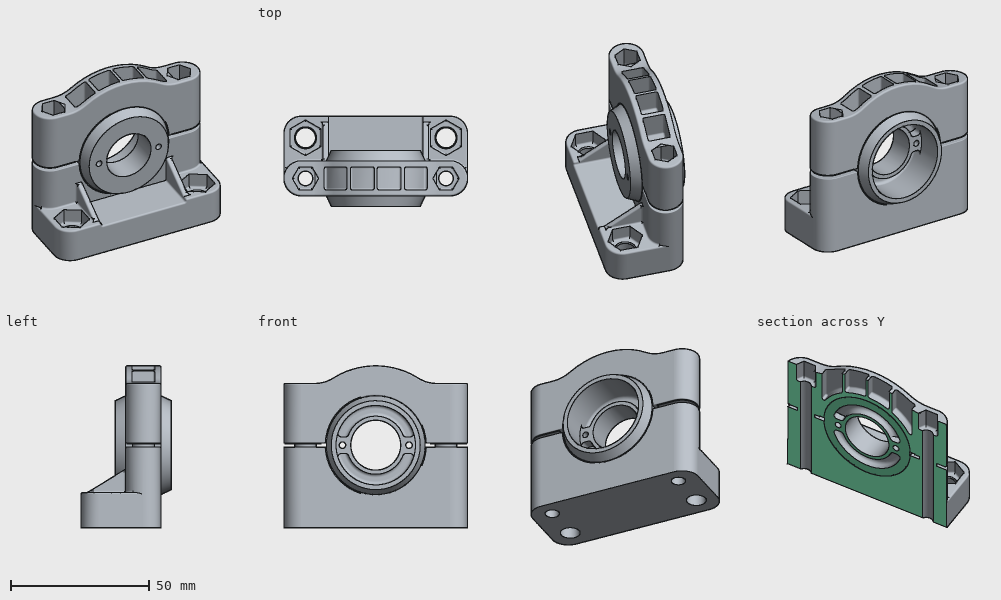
import cadquery as cq
import math

LENGTH = 66.55
THICKNESS = 12.8
BORE_HEIGHT = 29.95
SHOULDER_HEIGHT = 52.3
TOP_HEIGHT = 58.7
EDGE_ROUND = 0.63
GAP = 1.45
GAP_EDGE_ROUND = 0.2
BORE_EDGE_ROUND = 0.4

HUMP_RADIUS = TOP_HEIGHT - BORE_HEIGHT
HUMP_FOOT_X = 22.0

POCKET_SPANS = [(0.5, 9.2), (10.45, 18.65)]
POCKET_WIDTH = 8.25
POCKET_FLOOR_RADIUS = 20.15
POCKET_ROUND = 0.65

BOLT_X = 25.4
BOLT_HOLE_DIAMETER = 5.2
BOLT_HEX_FLATS = 8.25
BOLT_HEX_DEPTH = 8.0
BOSS_DIAMETER = 7.9

PAD_THICKNESS = 0.3
PAD_INSET = 0.43
PAD_INNER_X = 19.75

FLANGE_BACK_Y = 22.55
FLANGE_HEIGHT = 12.8
MOUNT_Y = 14.7
MOUNT_HOLE_DIAMETER = 7.2
MOUNT_HOLE_CHAMFER = 0.4
MOUNT_HEX_FLATS = 11.2
MOUNT_HEX_DEPTH = 5.7
HEX_FLOOR_ROUND = 0.65

RIB_INNER_X = 17.05
RIB_OUTER_X = 19.15
RIB_FOOT_Y = 20.35
RIB_TOP_HEIGHT = 21.3
RECESS_DEPTH = 1.3

BUSHING_LENGTH = 20.35
BUSHING_RADIUS = 17.9
BUSHING_END_RADIUS = 16.1
COUNTERBORE_RADIUS = 14.4
COUNTERBORE_DEPTH = BUSHING_LENGTH / 2
BUSHING_HOLE_RADIUS = 9.0
GROOVE_INNER_RADIUS = 10.5
GROOVE_DEPTH = 4.0
GROOVE_ROUND = 1.25
BRIDGE_WIDTH = 6.0
PIN_X = 12.05
PIN_HOLE_DIAMETER = 2.25

RECESS_FLOOR = FLANGE_HEIGHT - RECESS_DEPTH
HALF_LENGTH = LENGTH / 2
HALF_THICKNESS = THICKNESS / 2
GAP_BOTTOM = BORE_HEIGHT - GAP / 2
GAP_TOP = BORE_HEIGHT + GAP / 2
SIDES = (-1, 1)


def block(x_range, y_range, z_range):
    """Axis-aligned box given by its limits along each axis."""
    return cq.Workplane("XY").box(
        x_range[1] - x_range[0], y_range[1] - y_range[0], z_range[1] - z_range[0], centered=False
    ).translate((x_range[0], y_range[0], z_range[0]))


def bore_cylinder(radius, y_start, y_end):
    """Cylinder on the bore axis between two Y positions."""
    plane = cq.Workplane("XZ", origin=(0, y_start, BORE_HEIGHT))
    return plane.circle(radius).extrude(y_start - y_end)


def rounded_end_column(bottom, top):
    """Full-length upright column with fully rounded ends."""
    return cq.Workplane("XY", origin=(0, 0, bottom)).slot2D(LENGTH, THICKNESS).extrude(top - bottom)


def hump_profile():
    """Front outline of the upper half: shoulders, blend arcs and the hump."""
    rise = SHOULDER_HEIGHT - BORE_HEIGHT
    blend_radius = (HUMP_FOOT_X**2 + rise**2 - HUMP_RADIUS**2) / (2 * (HUMP_RADIUS - rise))
    blend_centre_z = SHOULDER_HEIGHT + blend_radius
    lean = math.atan2(HUMP_FOOT_X, blend_centre_z - BORE_HEIGHT)
    join_x = HUMP_RADIUS * math.sin(lean)
    join_z = BORE_HEIGHT + HUMP_RADIUS * math.cos(lean)
    blend_mid_x = HUMP_FOOT_X - blend_radius * math.sin(lean / 2)
    blend_mid_z = blend_centre_z - blend_radius * math.cos(lean / 2)
    return (
        cq.Workplane("XZ")
        .moveTo(-HALF_LENGTH, GAP_TOP)
        .lineTo(-HALF_LENGTH, SHOULDER_HEIGHT)
        .lineTo(-HUMP_FOOT_X, SHOULDER_HEIGHT)
        .threePointArc((-blend_mid_x, blend_mid_z), (-join_x, join_z))
        .threePointArc((0, TOP_HEIGHT), (join_x, join_z))
        .threePointArc((blend_mid_x, blend_mid_z), (HUMP_FOOT_X, SHOULDER_HEIGHT))
        .lineTo(HALF_LENGTH, SHOULDER_HEIGHT)
        .lineTo(HALF_LENGTH, GAP_TOP)
        .close()
    )


def hump_pocket(x_start, x_end):
    """Pocket cutter whose floor follows the bore."""
    half_width = POCKET_WIDTH / 2
    pocket = block((x_start, x_end), (-half_width, half_width), (BORE_HEIGHT, TOP_HEIGHT + 0.65))
    pocket = pocket.cut(bore_cylinder(POCKET_FLOOR_RADIUS, -THICKNESS, THICKNESS))
    return pocket.edges("not >Z").fillet(POCKET_ROUND)


def hex_pocket(flats, depth, x, y, top, turn):
    """Hexagonal nut pocket cutter with a rounded floor edge."""
    corners = flats / math.cos(math.radians(30))
    cutter = cq.Workplane("XY").polygon(6, corners).extrude(depth)
    cutter = cutter.faces("<Z").edges().fillet(HEX_FLOOR_ROUND)
    return cutter.rotate((0, 0, 0), (0, 0, 1), turn).translate((x, y, top - depth))


def upper_half():
    """Humped upper half of the clamp, with its hump pockets and end pads."""
    upper = hump_profile().extrude(HALF_THICKNESS, both=True)
    upper = upper.intersect(rounded_end_column(GAP_TOP, TOP_HEIGHT + 0.65))
    upper = upper.faces("<Z").edges().fillet(GAP_EDGE_ROUND)
    rim = cq.selectors.BoxSelector(
        (-LENGTH, -THICKNESS, SHOULDER_HEIGHT - 0.05), (LENGTH, THICKNESS, TOP_HEIGHT + 0.65)
    )
    upper = upper.edges(rim).edges("not |Y").fillet(EDGE_ROUND)
    for side in SIDES:
        for near, far in POCKET_SPANS:
            upper = upper.cut(hump_pocket(*sorted((side * near, side * far))))
    return upper.union(end_pads())


def end_pads():
    """Thin pads under the two ends of the upper half, inset from its outline."""
    bottom = GAP_TOP - PAD_THICKNESS
    outline = cq.Workplane("XY", origin=(0, 0, bottom)).slot2D(LENGTH - 2 * PAD_INSET, THICKNESS - 2 * PAD_INSET)
    pads = outline.extrude(PAD_THICKNESS)
    middle = block((-PAD_INNER_X, PAD_INNER_X), (-THICKNESS, THICKNESS), (bottom, GAP_TOP))
    return pads.cut(middle)


def gusset_wedge(x_start, x_end):
    """Wedge under the sloping rib line, between two X positions."""
    slope = (RIB_TOP_HEIGHT - FLANGE_HEIGHT) / (RIB_FOOT_Y - HALF_THICKNESS)
    outline = [
        (0, RECESS_FLOOR),
        (RIB_FOOT_Y, RECESS_FLOOR),
        (RIB_FOOT_Y, FLANGE_HEIGHT),
        (0, FLANGE_HEIGHT + slope * RIB_FOOT_Y),
    ]
    near_x, far_x = sorted((x_start, x_end))
    plane = cq.Workplane("YZ", origin=(near_x, 0, 0))
    return plane.polyline(outline).close().extrude(far_x - near_x)


def rib(side):
    """Gusset rib from the flange up into the lower half, on one side of the middle."""
    wedge = gusset_wedge(side * RIB_INNER_X, side * RIB_OUTER_X)
    return wedge.edges("not (#Y or #Z)").fillet(EDGE_ROUND)


def flare_profile(plane, across=0, up=0):
    """Concave corner section on a plane, with its corner at the given point and sunk into both walls."""
    far = EDGE_ROUND
    near = EDGE_ROUND * (1 - math.sqrt(0.5))
    return (
        plane.moveTo(across - far, up - far)
        .lineTo(across + far, up - far)
        .lineTo(across + far, up)
        .threePointArc((across + near, up + near), (across, up + far))
        .lineTo(across - far, up + far)
        .close()
    )


def rib_flare(side):
    """Concave rounding where a rib's outer side meets the flange top and the column."""
    corner = (side * RIB_OUTER_X, HALF_THICKNESS, FLANGE_HEIGHT)
    along_flange = cq.Workplane(cq.Plane(corner, xDir=(side, 0, 0), normal=(0, -side, 0)))
    flare = flare_profile(along_flange).extrude(-side * (RIB_FOOT_Y - HALF_THICKNESS))
    up_column = cq.Workplane(cq.Plane(corner, xDir=(side, 0, 0), normal=(0, 0, side)))
    flare = flare.union(flare_profile(up_column).extrude(side * (RIB_TOP_HEIGHT - FLANGE_HEIGHT)))
    return flare.intersect(gusset_wedge(side * RIB_INNER_X, side * BOLT_X))


def column_flare(side):
    """Concave rounding where the column meets the flange top, running on round its end."""
    end_axis_x = HALF_LENGTH - HALF_THICKNESS
    start_x = RIB_OUTER_X - EDGE_ROUND
    straight_plane = cq.Workplane(
        cq.Plane((side * start_x, HALF_THICKNESS, FLANGE_HEIGHT), xDir=(0, 1, 0), normal=(1, 0, 0))
    )
    straight = flare_profile(straight_plane).extrude(side * (end_axis_x - start_x))
    end_plane = cq.Workplane(
        cq.Plane((side * end_axis_x, 0, FLANGE_HEIGHT), xDir=(0, 1, 0), normal=(1, 0, 0))
    )
    turn = math.degrees(math.asin((HALF_THICKNESS - EDGE_ROUND) / (HALF_THICKNESS + EDGE_ROUND)))
    end = flare_profile(end_plane, across=HALF_THICKNESS).revolve(turn, (0, 0, 0), (0, -side, 0))
    return straight.union(end)


def mounting_flange():
    """Flange with rounded back corners and rim, and a shallow recess open at the back."""
    flange = block((-HALF_LENGTH, HALF_LENGTH), (0, FLANGE_BACK_Y), (0, FLANGE_HEIGHT))
    flange = flange.edges("|Z and >Y").fillet(HALF_THICKNESS)
    recess = block((-RIB_INNER_X, RIB_INNER_X), (-0.65, FLANGE_BACK_Y + 0.65), (RECESS_FLOOR, FLANGE_HEIGHT + 0.65))
    flange = flange.cut(recess.edges("|Y and <Z").fillet(EDGE_ROUND))
    recess_rim = cq.selectors.BoxSelector(
        (-RIB_OUTER_X, 0, FLANGE_HEIGHT - 0.05), (RIB_OUTER_X, FLANGE_BACK_Y, FLANGE_HEIGHT + 0.05)
    )
    flange = flange.edges(recess_rim).edges("|Y").fillet(EDGE_ROUND)
    return flange.edges("|X and >Y").edges(">Z").fillet(EDGE_ROUND)


def lower_half():
    """Lower half of the clamp with the mounting flange, recess and gusset ribs."""
    lower = rounded_end_column(0, GAP_BOTTOM)
    lower = lower.faces(">Z").edges().fillet(GAP_EDGE_ROUND)
    back = mounting_flange()
    for side in SIDES:
        back = back.union(rib(side))
    lower = lower.union(back)
    for side in SIDES:
        lower = lower.union(rib_flare(side)).union(column_flare(side))
    return lower


def bushing():
    """Bushing: tapered ends, front counterbore and two grooves split by drilled bridges."""
    half = BUSHING_LENGTH / 2
    outline = [
        (0, -half),
        (BUSHING_END_RADIUS, -half),
        (BUSHING_RADIUS, -HALF_THICKNESS),
        (BUSHING_RADIUS, HALF_THICKNESS),
        (BUSHING_END_RADIUS, half),
        (0, half),
    ]
    body = cq.Workplane("XY").polyline(outline).close().revolve(360, (0, 0, 0), (0, 1, 0))
    body = body.translate((0, 0, BORE_HEIGHT))
    web_y = COUNTERBORE_DEPTH - half
    body = body.cut(bore_cylinder(COUNTERBORE_RADIUS, -half, web_y))
    body = body.cut(bore_cylinder(BUSHING_HOLE_RADIUS, -half, half))
    groove_bottom = web_y + GROOVE_DEPTH
    grooves = bore_cylinder(COUNTERBORE_RADIUS, web_y, groove_bottom)
    grooves = grooves.cut(bore_cylinder(GROOVE_INNER_RADIUS, web_y, groove_bottom))
    bridge = block(
        (-BUSHING_RADIUS, BUSHING_RADIUS),
        (web_y, groove_bottom),
        (BORE_HEIGHT - BRIDGE_WIDTH / 2, BORE_HEIGHT + BRIDGE_WIDTH / 2),
    )
    plain_grooves = grooves.cut(bridge).edges("|Y").fillet(GROOVE_ROUND)
    rounded_grooves = grooves.faces(">Y").edges().fillet(GROOVE_ROUND)
    body = body.cut(plain_grooves.intersect(rounded_grooves))
    for side in SIDES:
        pin_hole = bore_cylinder(PIN_HOLE_DIAMETER / 2, -half, half)
        body = body.cut(pin_hole.translate((side * PIN_X, 0, 0)))
    return body


def mounting_hole(x):
    """Cutter for a mounting bolt: through hole with a chamfered rim under a hexagonal pocket."""
    cutter = hex_pocket(MOUNT_HEX_FLATS, MOUNT_HEX_DEPTH, x, MOUNT_Y, FLANGE_HEIGHT, 30)
    radius = MOUNT_HOLE_DIAMETER / 2
    base = cq.Workplane("XY", origin=(x, MOUNT_Y, 0))
    hole = base.circle(radius).extrude(FLANGE_HEIGHT)
    rim = base.workplane(offset=FLANGE_HEIGHT - MOUNT_HEX_DEPTH).circle(radius + MOUNT_HOLE_CHAMFER)
    return cutter.union(hole).union(rim.extrude(-MOUNT_HOLE_CHAMFER, taper=45))


def clamp():
    """Both halves joined by the bolt bosses, bored for the bushing and drilled for the bolts."""
    body = upper_half().union(lower_half())
    for side in SIDES:
        boss = cq.Workplane("XY", origin=(side * BOLT_X, 0, GAP_BOTTOM))
        body = body.union(boss.circle(BOSS_DIAMETER / 2).extrude(GAP))
    for side in SIDES:
        bolt_hole = cq.Workplane("XY", origin=(side * BOLT_X, 0, 0))
        body = body.cut(bolt_hole.circle(BOLT_HOLE_DIAMETER / 2).extrude(TOP_HEIGHT))
        body = body.cut(hex_pocket(BOLT_HEX_FLATS, BOLT_HEX_DEPTH, side * BOLT_X, 0, SHOULDER_HEIGHT, 0))
        body = body.cut(mounting_hole(side * BOLT_X))
    body = body.cut(bore_cylinder(BUSHING_RADIUS, -HALF_THICKNESS, HALF_THICKNESS))
    bore_mouths = cq.selectors.BoxSelector(
        (-0.65, -THICKNESS, BORE_HEIGHT - BUSHING_RADIUS), (0.65, THICKNESS, BORE_HEIGHT + BUSHING_RADIUS)
    )
    return body.edges(bore_mouths).edges("%CIRCLE").fillet(BORE_EDGE_ROUND)


clamp_body = clamp()
bushing_body = bushing()
result = cq.Compound.makeCompound([clamp_body.val(), bushing_body.val()])